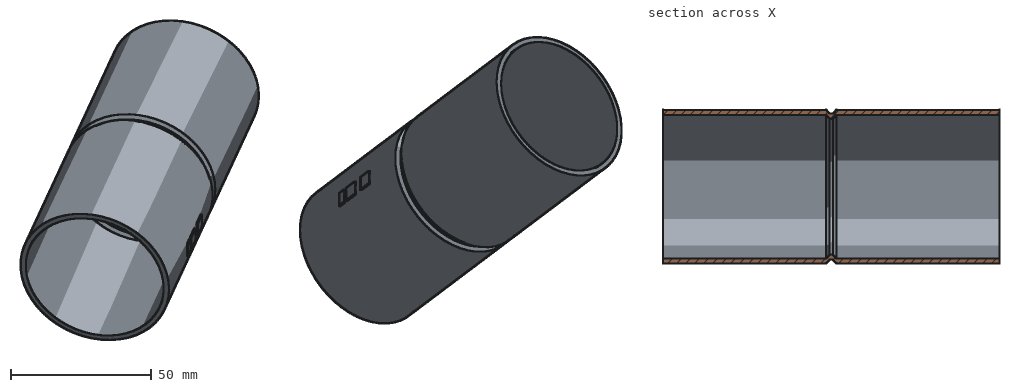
import cadquery as cq

length = 120.0
outer_diameter = 55.0
bore_diameter = 51.0
outer_radius = outer_diameter / 2
bore_radius = bore_diameter / 2

groove_diameter = 52.3
ridge_diameter = 48.2
groove_mouth_width = 3.6
groove_floor_width = 1.1
groove_radius = groove_diameter / 2
ridge_radius = ridge_diameter / 2

pad_height = 0.4
pad_width = 5.3
pad_spans = [(-22.7, -17.4), (-31.5, -25.9), (-35.8, -32.5)]


def make_tube():
    """Revolve the wall section, including the rolled groove, about the Y axis."""
    half_length = length / 2
    half_mouth = groove_mouth_width / 2
    half_floor = groove_floor_width / 2
    outer_side = [
        (outer_radius, -half_length),
        (outer_radius, -half_mouth),
        (groove_radius, -half_floor),
        (groove_radius, half_floor),
        (outer_radius, half_mouth),
        (outer_radius, half_length),
    ]
    inner_side = [
        (bore_radius, half_length),
        (bore_radius, half_mouth),
        (ridge_radius, half_floor),
        (ridge_radius, -half_floor),
        (bore_radius, -half_mouth),
        (bore_radius, -half_length),
    ]
    section = cq.Workplane("XY").polyline(outer_side + inner_side).close()
    return section.revolve(360, (0, 0, 0), (0, 1, 0))


def make_pad(start, end):
    """Make a flat-topped pad that is rooted inside the tube's wall."""
    root_x = (bore_radius + outer_radius) / 2
    top_x = outer_radius + pad_height
    pad = cq.Workplane("XY").box(top_x - root_x, end - start, pad_width, centered=(False, False, True))
    return pad.translate((root_x, start, 0))


result = make_tube()
for pad_start, pad_end in pad_spans:
    result = result.union(make_pad(pad_start, pad_end))